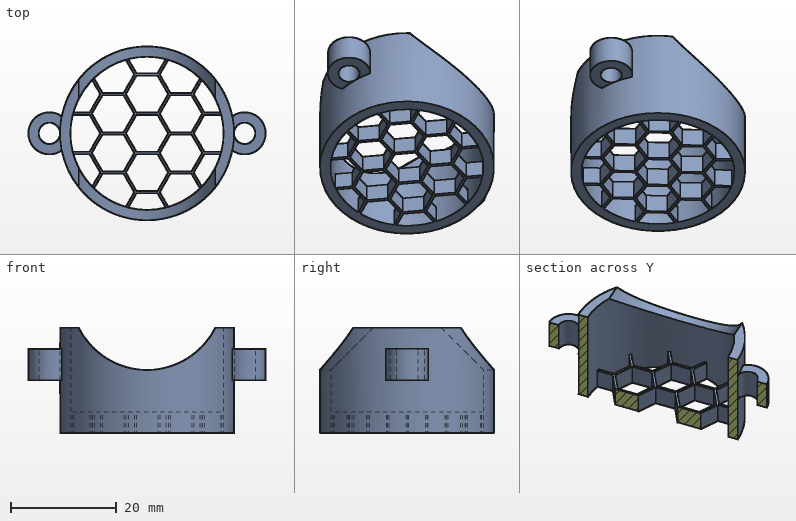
import cadquery as cq
import math

total_length = 45.0
cup_diameter = 33.0
cup_height = 20.0
bore_diameter = 29.0

ear_diameter = 8.0
ear_hole_diameter = 4.0
ear_bottom = 10.0
ear_height = 6.0
ear_offset = (total_length - ear_diameter) / 2

saddle_radius = bore_diameter / 2
saddle_depth = 8.0
saddle_axis_height = cup_height - saddle_depth + saddle_radius

grille_height = 4.0
cell_corner_radius = 4.0
cell_wall = 0.5
cell_pitch = cell_corner_radius * math.sqrt(3) + cell_wall
column_pitch = cell_pitch * math.sqrt(3) / 2
cell_rings = 3


def cylinder(diameter, height):
    return cq.Workplane("XY").circle(diameter / 2).extrude(height)


def honeycomb_centres():
    """Centres of a hexagonal patch of cells, stacked in columns along Y."""
    centres = []
    for column in range(-cell_rings, cell_rings + 1):
        cells_in_column = 2 * cell_rings + 1 - abs(column)
        for cell in range(cells_in_column):
            y = (cell - (cells_in_column - 1) / 2) * cell_pitch
            centres.append((column * column_pitch, y))
    return centres


def make_cup():
    """Open tube with an ear on each side; the bore trims the ears flush inside."""
    cup = cylinder(cup_diameter, cup_height)
    ear_centres = [(-ear_offset, 0), (ear_offset, 0)]
    ear_plane = cq.Workplane("XY").workplane(offset=ear_bottom)
    ears = ear_plane.pushPoints(ear_centres).circle(ear_diameter / 2).extrude(ear_height)
    holes = ear_plane.pushPoints(ear_centres).circle(ear_hole_diameter / 2).extrude(ear_height)
    return cup.union(ears).cut(holes).cut(cylinder(bore_diameter, cup_height))


def make_saddle_cutter():
    return (
        cq.Workplane("XZ")
        .center(0, saddle_axis_height)
        .circle(saddle_radius)
        .extrude(cup_diameter / 2, both=True)
    )


def make_grille():
    """Disc pierced by hexagons that have two sides parallel to X."""
    disc_diameter = (bore_diameter + cup_diameter) / 2
    cells = (
        cq.Workplane("XY")
        .pushPoints(honeycomb_centres())
        .polygon(6, 2 * cell_corner_radius)
        .extrude(grille_height)
    )
    return cylinder(disc_diameter, grille_height).cut(cells)


result = make_cup().cut(make_saddle_cutter()).union(make_grille())